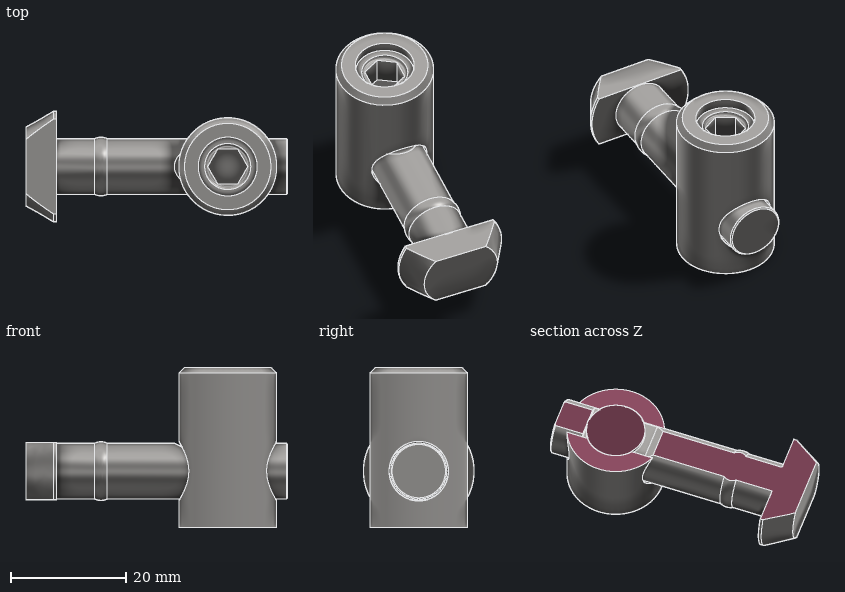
import cadquery as cq
import math


housing_diameter = 17.0
housing_height = 27.8
housing_bottom = -9.8
housing_top = housing_bottom + housing_height
housing_chamfer = 1.0
cross_hole_diameter = 10.3
screw_bore_diameter = 10.2

bolt_length = 45.4
head_face_x = -35.0
bolt_end_x = head_face_x + bolt_length
bolt_end_chamfer = 0.23
shaft_diameter = 9.7
shaft_radius = shaft_diameter / 2
head_diameter = 19.25
head_length = 5.35
head_rim_length = 0.55
head_cone_angle = 30.0
head_thickness = 10.0
head_back_x = head_face_x + head_length
head_rim_x = head_back_x - head_rim_length
head_face_radius = head_diameter / 2 - (head_rim_x - head_face_x) * math.tan(math.radians(head_cone_angle))

band_diameter = 10.2
band_width = 2.2
band_center_x = head_face_x + 13.05

ramp_start_x = -9.25
ramp_angle = 27.0
seat_depth = 1.45
seat_z = shaft_radius - seat_depth
seat_start_x = ramp_start_x + seat_depth / math.tan(math.radians(ramp_angle))
seat_end_x = screw_bore_diameter / 2

screw_recess = 1.8
screw_top = housing_top - screw_recess
socket_rim_diameter = 8.0
socket_rim_radius = 0.5
hex_flats = 6.05
hex_corners = hex_flats / math.cos(math.radians(30))
hex_depth = 5.0
hex_top = screw_top - socket_rim_radius


def make_housing():
    """Upright cylinder with a cross hole for the bolt and a bore for the screw."""
    body = cq.Workplane("XY").workplane(offset=housing_bottom).circle(housing_diameter / 2)
    body = body.extrude(housing_height)
    body = body.faces(">Z").chamfer(housing_chamfer)
    cross_hole = cq.Workplane("YZ").circle(cross_hole_diameter / 2).extrude(housing_diameter, both=True)
    screw_bore = cq.Workplane("XY").workplane(offset=seat_z).circle(screw_bore_diameter / 2)
    screw_bore = screw_bore.extrude(housing_top - seat_z)
    return body.cut(cross_hole).cut(screw_bore)


def make_bolt_blank():
    """Revolve the conical head, the shaft and its bulged band about the X axis."""
    return (
        cq.Workplane("XY")
        .moveTo(head_face_x, 0)
        .lineTo(head_face_x, head_face_radius)
        .lineTo(head_rim_x, head_diameter / 2)
        .lineTo(head_back_x, head_diameter / 2)
        .lineTo(head_back_x, shaft_radius)
        .lineTo(band_center_x - band_width / 2, shaft_radius)
        .threePointArc(
            (band_center_x, band_diameter / 2),
            (band_center_x + band_width / 2, shaft_radius),
        )
        .lineTo(bolt_end_x - bolt_end_chamfer, shaft_radius)
        .lineTo(bolt_end_x, shaft_radius - bolt_end_chamfer)
        .lineTo(bolt_end_x, 0)
        .close()
        .revolve(360, (0, 0, 0), (1, 0, 0))
    )


def make_head_box(height):
    """Box around the head, centered on the bolt axis."""
    box = cq.Workplane("XY").box(head_length, head_diameter, height)
    return box.translate((head_face_x + head_length / 2, 0, 0))


def make_seat_notch():
    """Ramp and flat seat cut across the top of the shaft."""
    outline = [
        (ramp_start_x, shaft_radius),
        (seat_start_x, seat_z),
        (seat_end_x, seat_z),
        (seat_end_x, shaft_radius),
    ]
    return cq.Workplane("XZ").polyline(outline).close().extrude(shaft_radius, both=True)


def make_bolt():
    """Bolt with flats on the top and the bottom of its head, and the screw seat in its shaft."""
    head_waste = make_head_box(head_diameter).cut(make_head_box(head_thickness))
    return make_bolt_blank().cut(head_waste).cut(make_seat_notch())


def make_screw():
    """Plain clamping screw with a hexagon socket below a rounded, dished rim."""
    body = cq.Workplane("XY").workplane(offset=seat_z).circle(screw_bore_diameter / 2)
    body = body.extrude(screw_top - seat_z)
    rim_outer = socket_rim_diameter / 2
    rim_inner = rim_outer - socket_rim_radius
    arc_offset = socket_rim_radius * math.sin(math.radians(45))
    dish = (
        cq.Workplane("XZ")
        .moveTo(0, screw_top)
        .lineTo(rim_outer, screw_top)
        .threePointArc((rim_inner + arc_offset, screw_top - arc_offset), (rim_inner, hex_top))
        .lineTo(0, hex_top)
        .close()
        .revolve(360, (0, 0, 0), (0, 1, 0))
    )
    socket = cq.Workplane("XY").workplane(offset=hex_top).polygon(6, hex_corners).extrude(-hex_depth)
    return body.cut(dish).cut(socket)


housing = make_housing()
bolt = make_bolt()
screw = make_screw()

result = cq.Compound.makeCompound([
    housing.solids().val(),
    bolt.solids().val(),
    screw.solids().val(),
])